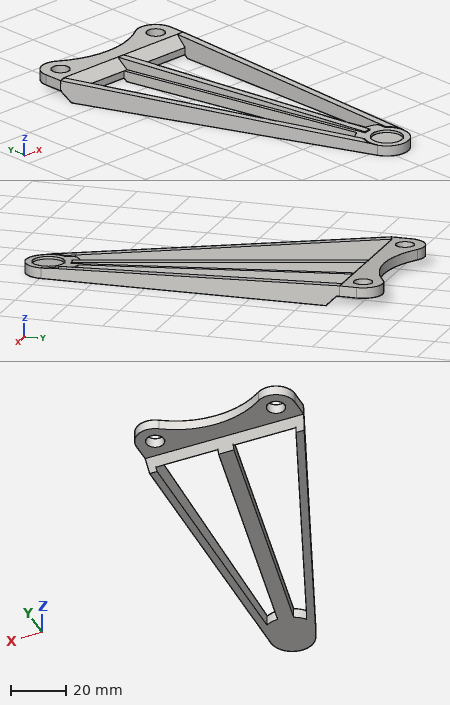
import cadquery as cq
import math

overall_length = 136
height = 8.0
half_height = height / 2
boss_radius = 8.5
recess_diameter = 12.0
recess_depth = 1.0
pad_radius = 11.5
hole_diameter = 7.0
hole_spacing = 48.0
ear_radius = 7.5
scallop_radius = 35.0
bar_width = 3.0
flange_width = 6.0
plate_margin = 6.5
bar_end_rise = 0.1

hole_y = overall_length - boss_radius - ear_radius
plate_edge_y = hole_y - plate_margin
left_x = -hole_spacing - ear_radius
right_x = ear_radius
middle_x = -hole_spacing / 2


def tangent_point(x, y, side):
    """Point where the line from (x, y) touches the boss; side is 1 for right, -1 for left."""
    turn = math.acos(boss_radius / math.hypot(x, y))
    angle = math.atan2(y, x) - side * turn
    return boss_radius * math.cos(angle), boss_radius * math.sin(angle)


def sloped_bar(start, end, offset):
    """Bar falling from start to end, laid to the left of that path shifted by offset."""
    run_x = end[0] - start[0]
    run_y = end[1] - start[1]
    length = math.hypot(run_x, run_y)
    profile = [(0, 0), (length, 0), (length, half_height + bar_end_rise), (0, height)]
    bar = cq.Workplane("XZ").polyline(profile).close().extrude(-bar_width)
    bar = bar.translate((0, offset, 0))
    bar = bar.rotate((0, 0, 0), (0, 0, 1), math.degrees(math.atan2(run_y, run_x)))
    return bar.translate((start[0], start[1], 0))


left_lean = math.atan2(-left_x - boss_radius, plate_edge_y)
left_corner = (left_x, plate_edge_y - bar_width * math.sin(left_lean))
right_corner = (right_x, plate_edge_y)
left_inner_corner = (left_x + bar_width * math.cos(left_lean), plate_edge_y)
left_touch = tangent_point(*left_corner, -1)
right_touch = tangent_point(*right_corner, 1)

centre_distance = ear_radius + scallop_radius
scallop_rise = math.sqrt(centre_distance**2 - middle_x**2)
joint_dx = -middle_x * ear_radius / centre_distance
joint_y = hole_y + scallop_rise * ear_radius / centre_distance
scallop_low_y = hole_y + scallop_rise - scallop_radius
ear_top_y = hole_y + ear_radius
plate = (
    cq.Workplane("XY", origin=(0, 0, half_height))
    .moveTo(*left_corner)
    .lineTo(*left_inner_corner)
    .lineTo(*right_corner)
    .lineTo(right_x, hole_y)
    .threePointArc((0, ear_top_y), (-joint_dx, joint_y))
    .threePointArc((middle_x, scallop_low_y), (-hole_spacing + joint_dx, joint_y))
    .threePointArc((-hole_spacing, ear_top_y), (left_x, hole_y))
    .close()
    .extrude(half_height)
)
holes = (
    cq.Workplane("XY")
    .pushPoints([(-hole_spacing, hole_y), (0, hole_y)])
    .circle(hole_diameter / 2)
    .extrude(height)
)
plate = plate.cut(holes)

envelope = (
    cq.Workplane("XY")
    .moveTo(*left_corner)
    .lineTo(*left_touch)
    .threePointArc((0, -boss_radius), right_touch)
    .lineTo(*right_corner)
    .lineTo(*left_inner_corner)
    .close()
    .extrude(height)
)

crossbar_y = plate_edge_y - half_height
crossbar_profile = [
    (crossbar_y, 0),
    (plate_edge_y, 0),
    (plate_edge_y, height),
    (crossbar_y, half_height),
]
crossbar = (
    cq.Workplane("YZ", origin=(left_x, 0, 0))
    .polyline(crossbar_profile)
    .close()
    .extrude(right_x - left_x)
)

rib_top = (middle_x, plate_edge_y)
rib_length = math.hypot(*rib_top)
rib_angle = math.degrees(math.atan2(-rib_top[1], -rib_top[0]))
flange = (
    cq.Workplane("XY")
    .box(rib_length, flange_width, half_height, centered=(False, True, False))
    .rotate((0, 0, 0), (0, 0, 1), rib_angle)
    .translate((*rib_top, 0))
)
web = sloped_bar(rib_top, (0, 0), -bar_width / 2)

left_bar = sloped_bar(left_corner, left_touch, 0)
right_bar = sloped_bar(right_corner, right_touch, -bar_width)

pad = cq.Workplane("XY").circle(pad_radius).extrude(half_height)
frame = crossbar.union(flange).union(web).union(left_bar).union(right_bar).union(pad)
frame = frame.intersect(envelope)

frame = frame.cut(cq.Workplane("XY", origin=(0, 0, half_height)).circle(boss_radius).extrude(height))
recess_floor = half_height - recess_depth
recess = cq.Workplane("XY", origin=(0, 0, recess_floor)).circle(recess_diameter / 2).extrude(height)
frame = frame.cut(recess)

slope_y = left_corner[1]
underside_profile = [
    (slope_y - half_height, 0),
    (slope_y, half_height),
    (plate_edge_y, half_height),
    (plate_edge_y, 0),
]
underside = (
    cq.Workplane("YZ", origin=(left_x, 0, 0))
    .polyline(underside_profile)
    .close()
    .extrude(right_x + boss_radius - left_x)
)
result = plate.union(frame.cut(underside))